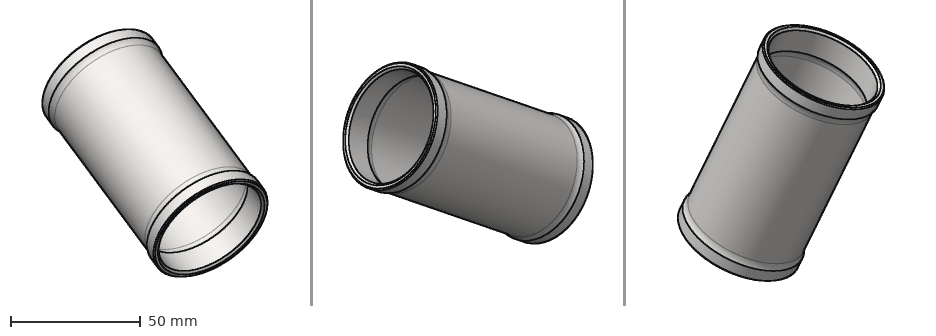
import cadquery as cq

length = 87.0
collar_radius = 25.4
tube_radius = 24.6

collar_length = 5.5
outer_chamfer = 0.5
outer_blend_length = 3.1

end_bore_radius = 22.7
relief_radius = 23.75
inner_chamfer = 1.0
end_bore_length = 11.4
inner_blend_length = 3.1

half_length = length / 2
arc_mid_fraction = 0.25


def blend_midpoint(steep_end, tangent_end):
    """Middle point of a shallow arc that runs out tangent to the X direction."""
    x = (steep_end[0] + tangent_end[0]) / 2
    radius = tangent_end[1] + arc_mid_fraction * (steep_end[1] - tangent_end[1])
    return (x, radius)


def opposite(point):
    """Matching point at the +X end."""
    return (-point[0], point[1])


def sleeve():
    """Revolve the whole wall section, symmetric about its middle."""
    face_inner = (-half_length, end_bore_radius + inner_chamfer)
    face_outer = (-half_length, collar_radius - outer_chamfer)
    collar_start = (-half_length + outer_chamfer, collar_radius)
    collar_end = (-half_length + collar_length, collar_radius)
    tube_start = (collar_end[0] + outer_blend_length, tube_radius)
    bore_start = (-half_length + inner_chamfer, end_bore_radius)
    bore_end = (-half_length + end_bore_length, end_bore_radius)
    relief_start = (bore_end[0] + inner_blend_length, relief_radius)

    outer_mid = blend_midpoint(collar_end, tube_start)
    inner_mid = blend_midpoint(bore_end, relief_start)

    section = (
        cq.Workplane("XY")
        .moveTo(*face_inner)
        .lineTo(*face_outer)
        .lineTo(*collar_start)
        .lineTo(*collar_end)
        .threePointArc(outer_mid, tube_start)
        .lineTo(*opposite(tube_start))
        .threePointArc(opposite(outer_mid), opposite(collar_end))
        .lineTo(*opposite(collar_start))
        .lineTo(*opposite(face_outer))
        .lineTo(*opposite(face_inner))
        .lineTo(*opposite(bore_start))
        .lineTo(*opposite(bore_end))
        .threePointArc(opposite(inner_mid), opposite(relief_start))
        .lineTo(*relief_start)
        .threePointArc(inner_mid, bore_end)
        .lineTo(*bore_start)
        .close()
    )
    return section.revolve(360, (0, 0, 0), (1, 0, 0))


result = sleeve()